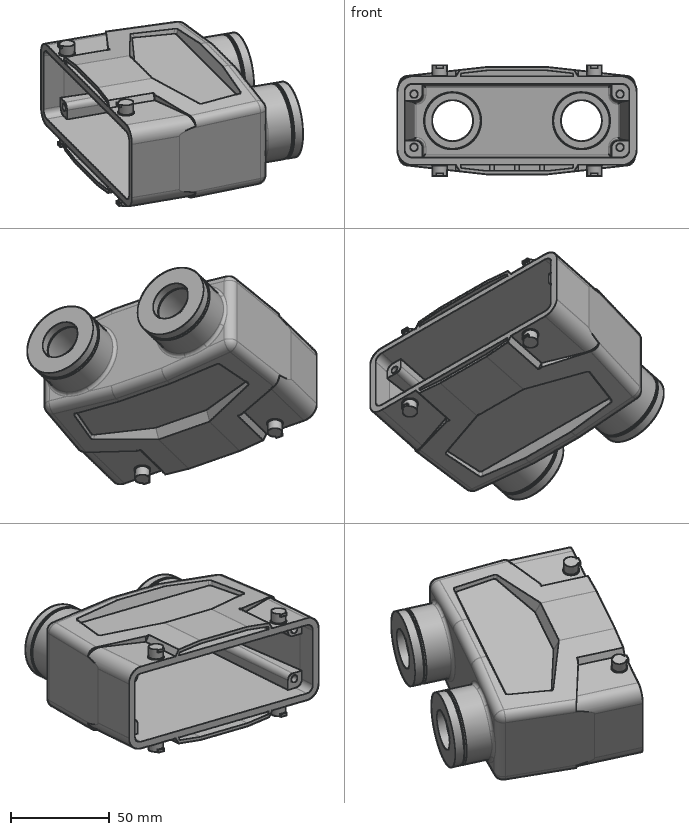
import cadquery as cq
import math


LENGTH = 121.0
HALF_LENGTH = LENGTH / 2
BACK_Y = 76.4
RIDGE_HALF_HEIGHT = 27.2
RIDGE_HALF_WIDTH = 15.0
ROOF_SLOPE = 0.112
SIDE_STRAIGHT_Y = 25.8
SIDE_DRAFT = math.tan(math.radians(5))
EDGE_RADIUS = 5.0
BEYOND = 12.1
TOLERANCE = 0.01

BOX_HALF_HEIGHT = 22.4
BOX_CORNER_RADIUS = 7.6
DIAGONAL_SLOPE = math.tan(math.radians(20))
RECESS_Y = 24.7
RECESS_FLOOR_X = 30.9
RECESS_RIM_X = 28.8

PANEL_FLOOR_Z = 21.8
PANEL_SIDE_LEAN = 0.165
PANEL_WALL_SLOPE = 0.4
PANEL_CORNER_RADIUS = 1.5
PANEL_FLOOR_FRONT_Y = 32.7
PANEL_FLOOR_BACK_Y = 66.1
PANEL_FLOOR_BACK_X = 42.0
PANEL_RIM_FRONT_Y = 29.8
PANEL_FRONT_X = 15.0

WALL = 3.8
CAVITY_HALF_LENGTH = HALF_LENGTH - WALL
CAVITY_HALF_HEIGHT = BOX_HALF_HEIGHT - WALL
CAVITY_BACK_Y = BACK_Y - WALL
CAVITY_BACK_HALF_HEIGHT = 17.7
CAVITY_STRAIGHT_Y = 10.9
CAVITY_DRAFT = math.tan(math.radians(4.5))
CAVITY_CORNER_RADIUS = 3.9
CAVITY_ROOT_RADIUS = 0.8

POST_FACE_Y = 9.2
POST_INNER_X = 47.9
POST_INNER_Z = 10.2
POST_RADIUS = 3.0
POST_DRAFT_ANGLE = 0.8
SCREW_X = 52.0
SCREW_Z = 13.4
SCREW_RADIUS = 1.9
SCREW_DEPTH = 14.5

SLOT_HALF_WIDTH = 28.4
SLOT_ROOF = 1.8
SLOT_DEPTH = 24.2
SLOT_END_RADIUS = 0.8
SLOT_RIB_WIDTH = 2.3
SLOT_RIB_PITCH = 12.6
SLOT_RIB_Y = 12.1

ENTRY_X = 32.5
ENTRY_RADIUS = 19.5
ENTRY_FILLET = 1.7
NECK_END_Y = 91.7
NECK_CHAMFER_LENGTH = 0.8
NECK_CHAMFER_DEPTH = 0.5
BORE_INNER_RADIUS = 14.5
BORE_OUTER_RADIUS = 14.2

RING_END_Y = 97.0
RING_START_Y = 92.3
RING_HOLE_RADIUS = 10.3
SEAL_RADIUS = 17.0

PIN_X = 39.1
PIN_Y = 5.6
PIN_RADIUS = 3.8
PIN_TOP_Z = 28.01
PIN_FLARE = 0.4
PIN_LIP_WIDTH = 3.6
PIN_LIP_HEIGHT = 1.5
PIN_LIP_Y = 1.1


def roof_z(x, drop=0.0):
    """Height of the roof at a distance x from the middle, lowered by drop."""
    return RIDGE_HALF_HEIGHT - drop - ROOF_SLOPE * max(0.0, x - RIDGE_HALF_WIDTH)


def along_y(start_y):
    """Workplane facing +Y at start_y whose local axes are X and -Z."""
    return cq.Workplane("XZ", origin=(0, start_y, 0)).transformed(rotate=(180, 0, 0))


def make_outer_shell():
    """Drafted hood, still wider than the lower box at the mouth."""
    mouth_half_length = HALF_LENGTH + SIDE_DRAFT * SIDE_STRAIGHT_Y
    back_half_length = HALF_LENGTH - SIDE_DRAFT * (BACK_Y - SIDE_STRAIGHT_Y)
    plan = cq.Workplane("XY", origin=(0, 0, -RIDGE_HALF_HEIGHT)).polyline([
        (-mouth_half_length, 0), (mouth_half_length, 0), (back_half_length, BACK_Y), (-back_half_length, BACK_Y),
    ]).close().extrude(2 * RIDGE_HALF_HEIGHT)
    eave_x = HALF_LENGTH + BEYOND
    eave_z = roof_z(eave_x)
    section = along_y(0).polyline([
        (-eave_x, -eave_z), (-RIDGE_HALF_WIDTH, -RIDGE_HALF_HEIGHT),
        (RIDGE_HALF_WIDTH, -RIDGE_HALF_HEIGHT), (eave_x, -eave_z),
        (eave_x, eave_z), (RIDGE_HALF_WIDTH, RIDGE_HALF_HEIGHT),
        (-RIDGE_HALF_WIDTH, RIDGE_HALF_HEIGHT), (-eave_x, eave_z),
    ]).close().extrude(BACK_Y)
    shell = plan.intersect(section)
    side_x = HALF_LENGTH - 2 * EDGE_RADIUS
    eave_edges = shell.edges("not(|Z or >Y or <Y)").filter(lambda edge: abs(edge.Center().x) > side_x)
    back_edges = shell.edges(">Y")
    return shell.newObject(eave_edges.vals() + back_edges.vals()).fillet(EDGE_RADIUS)


def make_corner_recess():
    """Space above the lower box at one corner, bounded by a diagonal and a sloped wall."""
    outer_x = HALF_LENGTH + BEYOND
    diagonal_y = RECESS_Y + DIAGONAL_SLOPE * (outer_x - RECESS_FLOOR_X)
    plan = cq.Workplane("XY").polyline([
        (0, -BEYOND), (outer_x, -BEYOND), (outer_x, diagonal_y), (RECESS_FLOOR_X, RECESS_Y), (0, RECESS_Y),
    ]).close().extrude(RIDGE_HALF_HEIGHT)
    wall_lean = (RECESS_FLOOR_X - RECESS_RIM_X) / (roof_z(RECESS_RIM_X) - BOX_HALF_HEIGHT)
    top_x = RECESS_FLOOR_X - wall_lean * (RIDGE_HALF_HEIGHT - BOX_HALF_HEIGHT)
    section = along_y(-BEYOND).polyline([
        (RECESS_FLOOR_X, 0), (RECESS_FLOOR_X, -BOX_HALF_HEIGHT), (top_x, -RIDGE_HALF_HEIGHT),
        (outer_x, -RIDGE_HALF_HEIGHT), (outer_x, 0),
    ]).close().extrude(diagonal_y + BEYOND)
    box = along_y(-BEYOND).rect(LENGTH, 2 * BOX_HALF_HEIGHT).extrude(diagonal_y + BEYOND)
    box = box.edges("|Y").fillet(BOX_CORNER_RADIUS)
    return plan.intersect(section).cut(box)


def panel_outline(z, front_y, back_y, side_x):
    """Six-sided outline at height z; side_x is where the leaning side would cross Y = 0."""
    corner_y = front_y + DIAGONAL_SLOPE * (side_x - PANEL_FRONT_X)
    corner_y = corner_y / (1 + DIAGONAL_SLOPE * PANEL_SIDE_LEAN)
    corner_x = side_x - PANEL_SIDE_LEAN * corner_y
    back_x = side_x - PANEL_SIDE_LEAN * back_y
    return cq.Wire.makePolygon([
        cq.Vector(-PANEL_FRONT_X, front_y, z), cq.Vector(PANEL_FRONT_X, front_y, z),
        cq.Vector(corner_x, corner_y, z), cq.Vector(back_x, back_y, z),
        cq.Vector(-back_x, back_y, z), cq.Vector(-corner_x, corner_y, z),
    ], close=True)


def make_panel_recess():
    wall_run = PANEL_WALL_SLOPE * (RIDGE_HALF_HEIGHT - PANEL_FLOOR_Z)
    floor_side_x = PANEL_FLOOR_BACK_X + PANEL_SIDE_LEAN * PANEL_FLOOR_BACK_Y
    floor = panel_outline(PANEL_FLOOR_Z, PANEL_FLOOR_FRONT_Y, PANEL_FLOOR_BACK_Y, floor_side_x)
    rim = panel_outline(
        RIDGE_HALF_HEIGHT, PANEL_RIM_FRONT_Y, PANEL_FLOOR_BACK_Y + wall_run, floor_side_x + wall_run)
    recess = cq.Workplane(cq.Solid.makeLoft([floor, rim], True))
    wall_edges = recess.edges("not #Z")
    outer_edges = wall_edges.filter(lambda edge: abs(edge.Center().x) > 2 * PANEL_FRONT_X)
    return recess.newObject(outer_edges.vals()).fillet(PANEL_CORNER_RADIUS)


def make_slot(rib_positions):
    """Crescent slot under the roof; ribs stand in it at the given X positions."""
    end_z = roof_z(SLOT_HALF_WIDTH, SLOT_ROOF)
    top_z = roof_z(0, SLOT_ROOF)
    slot = along_y(0).polyline([
        (-SLOT_HALF_WIDTH, -BOX_HALF_HEIGHT), (SLOT_HALF_WIDTH, -BOX_HALF_HEIGHT),
        (SLOT_HALF_WIDTH, -end_z), (RIDGE_HALF_WIDTH, -top_z),
        (-RIDGE_HALF_WIDTH, -top_z), (-SLOT_HALF_WIDTH, -end_z),
    ]).close().extrude(SLOT_DEPTH)
    slot = slot.edges("|Y").edges(">X or <X").edges(">Z").fillet(SLOT_END_RADIUS)
    for x in rib_positions:
        rib = cq.Workplane("XY").box(SLOT_RIB_WIDTH, SLOT_DEPTH, RIDGE_HALF_HEIGHT, centered=(True, False, False))
        slot = slot.cut(rib.translate((x, SLOT_RIB_Y, 0)))
    return slot


def corner_signs():
    return [(sx, sz) for sx in (-1, 1) for sz in (-1, 1)]


def make_post(sx, sz):
    width = 2 * (HALF_LENGTH - POST_INNER_X)
    height = 2 * (RIDGE_HALF_HEIGHT - POST_INNER_Z)
    sketch = cq.Sketch().rect(width, height).vertices().fillet(POST_RADIUS)
    post = along_y(POST_FACE_Y).center(sx * HALF_LENGTH, -sz * RIDGE_HALF_HEIGHT)
    return post.placeSketch(sketch).extrude(BACK_Y - POST_FACE_Y, taper=-POST_DRAFT_ANGLE)


def cavity_section(y):
    """Rounded rectangle of the cavity at depth y."""
    half_length = CAVITY_HALF_LENGTH - CAVITY_DRAFT * max(0.0, y - CAVITY_STRAIGHT_Y)
    half_height = CAVITY_HALF_HEIGHT - (CAVITY_HALF_HEIGHT - CAVITY_BACK_HALF_HEIGHT) * y / CAVITY_BACK_Y
    return cq.Sketch().rect(2 * half_length, 2 * half_height).vertices().fillet(CAVITY_CORNER_RADIUS)


def cavity_stretch(start_y, end_y):
    far_section = cavity_section(end_y).moved(cq.Location(cq.Vector(0, 0, end_y - start_y)))
    return along_y(start_y).placeSketch(cavity_section(start_y), far_section).loft(ruled=True)


def make_cavity():
    cavity = cavity_stretch(0, CAVITY_STRAIGHT_Y).union(cavity_stretch(CAVITY_STRAIGHT_Y, CAVITY_BACK_Y))
    for sx, sz in corner_signs():
        cavity = cavity.cut(make_post(sx, sz))
    return cavity.faces(">Y").edges().fillet(CAVITY_ROOT_RADIUS)


def add_neck(shell, x):
    """Join a round neck with a chamfered end to the back wall and blend its root into the shell."""
    neck = cq.Workplane("XY").polyline([
        (0, CAVITY_BACK_Y), (ENTRY_RADIUS, CAVITY_BACK_Y),
        (ENTRY_RADIUS, NECK_END_Y - NECK_CHAMFER_LENGTH),
        (ENTRY_RADIUS - NECK_CHAMFER_DEPTH, NECK_END_Y), (0, NECK_END_Y),
    ]).close().revolve(360, (0, 0, 0), (0, 1, 0)).translate((x, 0, 0))

    def is_root_edge(edge):
        start = edge.startPoint()
        on_neck = abs(math.hypot(start.x - x, start.z) - ENTRY_RADIUS) < TOLERANCE
        return on_neck and start.y < BACK_Y + TOLERANCE

    joined = shell.union(neck)
    root_edges = joined.edges().filter(is_root_edge)
    return joined.newObject(root_edges.vals()).fillet(ENTRY_FILLET)


def make_bore(x):
    return cq.Workplane("XY").polyline([
        (0, CAVITY_BACK_Y), (BORE_INNER_RADIUS, CAVITY_BACK_Y), (BORE_OUTER_RADIUS, NECK_END_Y), (0, NECK_END_Y),
    ]).close().revolve(360, (0, 0, 0), (0, 1, 0)).translate((x, 0, 0))


def make_housing():
    shell = make_outer_shell()
    for x in (-ENTRY_X, ENTRY_X):
        shell = add_neck(shell, x)
    recess = make_corner_recess()
    for sx, sz in corner_signs():
        tool = recess if sx > 0 else recess.mirror("YZ")
        shell = shell.cut(tool if sz > 0 else tool.mirror("XY"))
    panel = make_panel_recess()
    shell = shell.cut(panel).cut(panel.mirror("XY"))
    shell = shell.cut(make_slot([]))
    shell = shell.cut(make_slot([-SLOT_RIB_PITCH, 0, SLOT_RIB_PITCH]).mirror("XY"))
    shell = shell.cut(make_cavity())
    for x in (-ENTRY_X, ENTRY_X):
        shell = shell.cut(make_bore(x))
    for sx, sz in corner_signs():
        screw_hole = along_y(POST_FACE_Y).center(sx * SCREW_X, sz * SCREW_Z).circle(SCREW_RADIUS)
        shell = shell.cut(screw_hole.extrude(SCREW_DEPTH))
    return shell


def make_seal(x):
    seal = along_y(NECK_END_Y).center(x, 0).circle(SEAL_RADIUS).circle(RING_HOLE_RADIUS)
    return seal.extrude(RING_START_Y - NECK_END_Y)


def make_ring(x):
    ring = along_y(RING_START_Y).center(x, 0).circle(ENTRY_RADIUS).circle(RING_HOLE_RADIUS)
    return ring.extrude(RING_END_Y - RING_START_Y)


def make_pin(sx, sz):
    """Round pin standing on the lower box, flared at its foot, with a lip towards the mouth."""
    pin = cq.Workplane("XZ").polyline([
        (0, BOX_HALF_HEIGHT), (PIN_RADIUS + PIN_FLARE, BOX_HALF_HEIGHT),
        (PIN_RADIUS, BOX_HALF_HEIGHT + PIN_FLARE), (PIN_RADIUS, PIN_TOP_Z), (0, PIN_TOP_Z),
    ]).close().revolve(360, (0, 0, 0), (0, 1, 0))
    lip = cq.Workplane("XY").box(
        PIN_LIP_WIDTH, PIN_Y - PIN_LIP_Y, PIN_LIP_HEIGHT, centered=(True, False, False))
    pin = pin.union(lip.translate((0, PIN_LIP_Y - PIN_Y, PIN_TOP_Z - PIN_LIP_HEIGHT)))
    pin = pin.translate((sx * PIN_X, PIN_Y, 0))
    return pin if sz > 0 else pin.mirror("XY")


housing = make_housing()
seals = [make_seal(x) for x in (-ENTRY_X, ENTRY_X)]
rings = [make_ring(x) for x in (-ENTRY_X, ENTRY_X)]
pins = [make_pin(sx, sz) for sx, sz in corner_signs()]

result = cq.Compound.makeCompound([body.val() for body in [housing, *seals, *rings, *pins]])